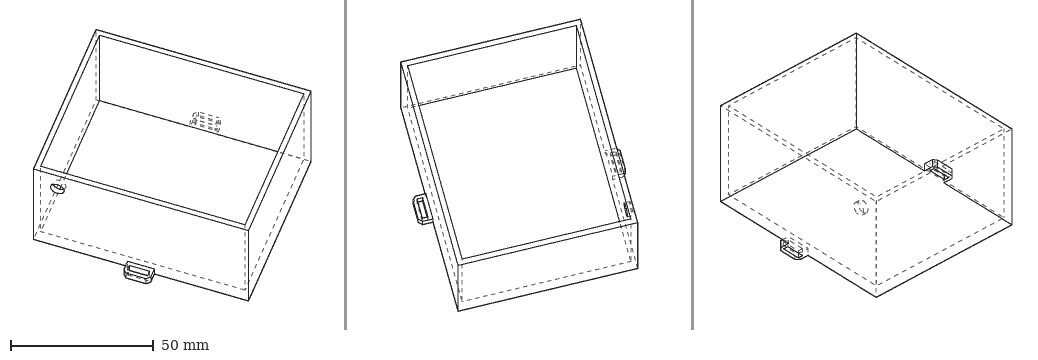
import cadquery as cq

box_length = 80.0
box_width = 65.0
box_height = 41.0
wall = 2.0
floor = 3.0

lug_length = 10.0
lug_reach = 5.0
lug_height = 3.0
lug_chamfer = 1.25
slot_length = 7.5
slot_width = 2.0
slot_offset = 2.5

hole_diameter = 5.0
hole_x = -31.1
hole_z = 33.35


def make_box():
    """Box standing on Z = 0, hollowed from the top."""
    outer = cq.Workplane("XY").rect(box_length, box_width).extrude(box_height)
    cavity = (
        cq.Workplane("XY")
        .workplane(offset=floor)
        .rect(box_length - 2 * wall, box_width - 2 * wall)
        .extrude(box_height - floor)
    )
    return outer.cut(cavity)


def make_lug(side):
    """Slotted lug on the wall at side = -1 (front) or +1 (back)."""
    wall_face = side * box_width / 2
    outer_end = "<Y" if side < 0 else ">Y"
    body = (
        cq.Workplane("XY")
        .center(0, wall_face + side * lug_reach / 2)
        .rect(lug_length, lug_reach)
        .extrude(lug_height)
        .edges(f"|Z and {outer_end}")
        .chamfer(lug_chamfer)
    )
    slot = (
        cq.Workplane("XY")
        .center(0, wall_face + side * slot_offset)
        .rect(slot_length, slot_width)
        .extrude(lug_height)
    )
    return body.cut(slot)


def make_hole():
    """Round cutter crossing the front wall only."""
    return (
        cq.Workplane("XZ", origin=(hole_x, -box_width / 2, hole_z))
        .circle(hole_diameter / 2)
        .extrude(-wall)
    )


result = make_box().cut(make_hole())
for side in (-1, 1):
    result = result.union(make_lug(side))